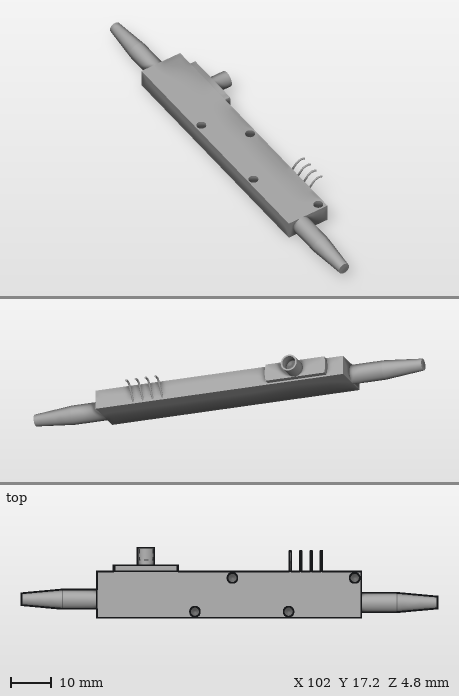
import cadquery as cq
import math

overall_length = 102.0
body_start = 18.5
body_length = 64.9
body_width = 11.4
body_height = 4.8
body_end = body_start + body_length
mid_height = body_height / 2

boot_diameter = 4.8
boot_tip_diameter = 3.0
taper_length = 9.8
left_boot_y = 4.6
right_boot_y = 3.8

connector_x = 30.5
connector_z = 2.5
flange_diameter = 15.9
flange_thickness = 1.5
flange_height = 4.3
stub_diameter = 4.2
stub_end_y = 17.2
bore_diameter = 3.4
bore_floor_y = 14.3

hole_diameter = 2.4
hole_depth = 3.1
drill_point_angle = 118.0
front_hole_y = 1.5
back_hole_y = 9.8
hole_centers = [
    (42.5, front_hole_y),
    (65.5, front_hole_y),
    (51.7, back_hole_y),
    (81.7, back_hole_y),
]

pin_diameter = 0.5
pin_count = 4
pin_pitch = 2.5
first_pin_x = 65.9
pin_root = (10.9, 0.2)
pin_bend_start = (13.8, 3.7)
pin_tip = (16.3, 4.3)


def make_body():
    """Rectangular housing with its front lower edge on the X axis."""
    return (
        cq.Workplane("XY")
        .box(body_length, body_width, body_height, centered=False)
        .translate((body_start, 0, 0))
    )


def make_boot(face_x, tip_x, center_y):
    """Sleeve and taper revolved about a line parallel to X."""
    outward = 1 if tip_x > face_x else -1
    taper_x = tip_x - outward * taper_length
    return (
        cq.Workplane("XY")
        .moveTo(face_x, 0)
        .lineTo(face_x, boot_diameter / 2)
        .lineTo(taper_x, boot_diameter / 2)
        .lineTo(tip_x, boot_tip_diameter / 2)
        .lineTo(tip_x, 0)
        .close()
        .revolve(360, (0, 0, 0), (1, 0, 0))
        .translate((0, center_y, mid_height))
    )


def cylinder_along_y(diameter, x, z, start_y, end_y):
    """Solid cylinder running in +Y."""
    axis_start = cq.Vector(x, start_y, z)
    return cq.Workplane(
        cq.Solid.makeCylinder(diameter / 2, end_y - start_y, axis_start, cq.Vector(0, 1, 0))
    )


def make_connector():
    """Round flange trimmed flat above and below, carrying a hollow round stub."""
    flange_end_y = body_width + flange_thickness
    flange = cylinder_along_y(flange_diameter, connector_x, connector_z, body_width, flange_end_y)
    trim = (
        cq.Workplane("XY")
        .box(flange_diameter, flange_thickness, flange_height, centered=(True, False, True))
        .translate((connector_x, body_width, connector_z))
    )
    stub = cylinder_along_y(stub_diameter, connector_x, connector_z, body_width, stub_end_y)
    bore = cylinder_along_y(bore_diameter, connector_x, connector_z, bore_floor_y, stub_end_y)
    return flange.intersect(trim).union(stub).cut(bore)


def make_pin(x):
    """Round wire rising away from the back face, then arching over to a drooping tip."""
    path = (
        cq.Workplane("YZ", origin=(x, 0, 0))
        .moveTo(*pin_root)
        .lineTo(*pin_bend_start)
        .tangentArcPoint(pin_tip, relative=False)
    )
    root_y, root_z = pin_root
    rise_direction = (0, pin_bend_start[0] - root_y, pin_bend_start[1] - root_z)
    section_plane = cq.Plane(origin=(x, root_y, root_z), xDir=(1, 0, 0), normal=rise_direction)
    return cq.Workplane(section_plane).circle(pin_diameter / 2).sweep(path)


def make_drilled_hole(x, y):
    """Blind hole cut from the top face, ending in a conical drill point."""
    radius = hole_diameter / 2
    point_depth = radius / math.tan(math.radians(drill_point_angle / 2))
    return (
        cq.Workplane("XZ")
        .lineTo(radius, 0)
        .lineTo(radius, -hole_depth)
        .lineTo(0, -hole_depth - point_depth)
        .close()
        .revolve(360, (0, 0, 0), (0, 1, 0))
        .translate((x, y, body_height))
    )


result = make_body()
result = result.union(make_boot(body_start, 0, left_boot_y))
result = result.union(make_boot(body_end, overall_length, right_boot_y))
result = result.union(make_connector())
for index in range(pin_count):
    result = result.union(make_pin(first_pin_x + index * pin_pitch))
for hole_x, hole_y in hole_centers:
    result = result.cut(make_drilled_hole(hole_x, hole_y))